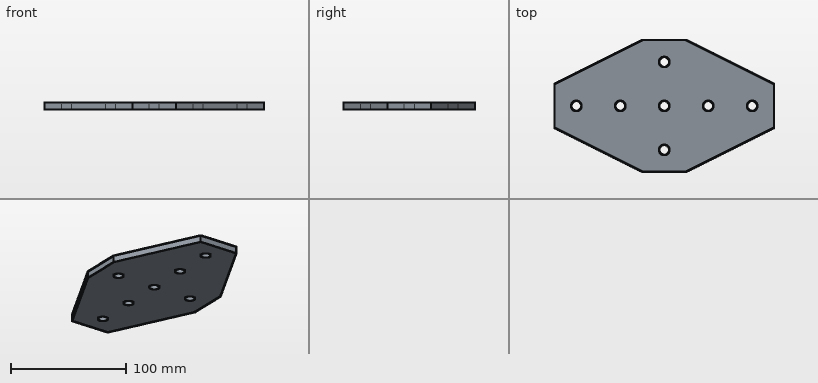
import cadquery as cq

pitch = 38.1
thickness = 6.35
hole_diameter = 8.68

length = 5 * pitch
width = 3 * pitch
edge_flat = pitch


def plate_blank():
    """Rectangle with its four corners cut off, leaving a flat on each side."""
    half_length = length / 2
    half_width = width / 2
    half_flat = edge_flat / 2
    outline = [
        (half_length, -half_flat),
        (half_length, half_flat),
        (half_flat, half_width),
        (-half_flat, half_width),
        (-half_length, half_flat),
        (-half_length, -half_flat),
        (-half_flat, -half_width),
        (half_flat, -half_width),
    ]
    return cq.Workplane("XY").polyline(outline).close().extrude(thickness)


def hole_centres():
    """A row of five holes along X, crossed by one hole on each side along Y."""
    row = [(step * pitch, 0) for step in range(-2, 3)]
    sides = [(0, -pitch), (0, pitch)]
    return row + sides


def drill_holes(plate):
    """Drill every hole straight through the plate."""
    top_face = plate.faces(">Z").workplane()
    return top_face.pushPoints(hole_centres()).hole(hole_diameter)


result = drill_holes(plate_blank())